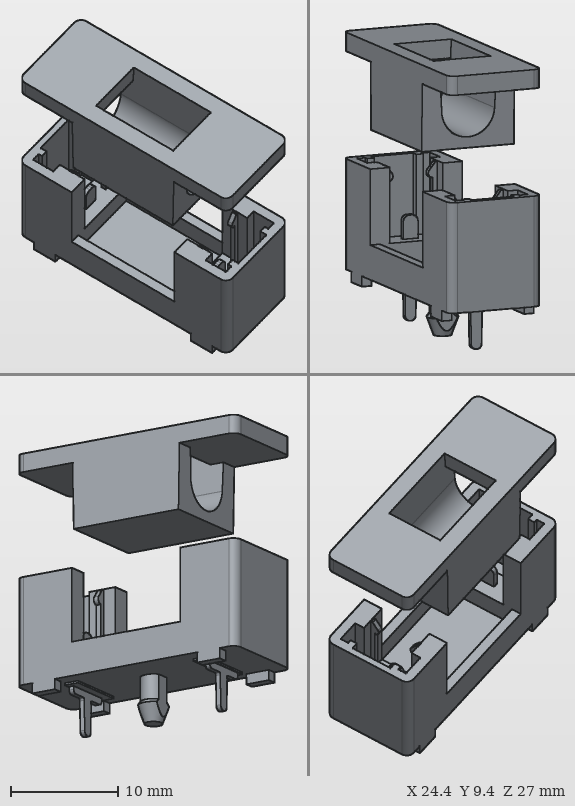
import cadquery as cq
import math


LENGTH = 24.4
WIDTH = 9.4
CORNER_RADIUS = 0.8

HOUSING_HEIGHT = 10.5
NOTCH_HALF_LENGTH = 6.0
SIDE_WALL_HEIGHT = 3.3
TROUGH_FLOOR = 1.2
SIDE_WALL = 1.0
CAVITY_HALF_WIDTH = WIDTH / 2 - SIDE_WALL

THROAT_FLOOR = SIDE_WALL_HEIGHT
CHAMBER_FLOOR = TROUGH_FLOOR
THROAT_HALF_WIDTH = 2.7
THROAT_END = 8.9
CAVITY_END = 11.25
RELIEF_END = 11.55
RIB_TIP = 10.85
RIB_INNER = 2.15
RIB_OUTER = 2.85

FOOT_LENGTH = 2.5
FOOT_WIDTH = 1.0
FOOT_HEIGHT = 1.0
FOOT_OUTER_END = 10.4

PAD_START = 6.4
PAD_END = 7.9
PAD_WIDTH = 6.1
PAD_THICKNESS = 0.2

TIP_DEPTH = 4.5
PEG_RADIUS = 1.25
PEG_FLAT_WIDTH = 2.1
BARB_RADIUS = 1.5
BARB_START_DEPTH = 2.4
BARB_DEPTH = 2.75
PEG_TIP_RADIUS = 0.85

CONTACT_START = 7.3
CONTACT_THICKNESS = 0.5
SHOULDER_WIDTH = 4.8
SHOULDER_DEPTH = 0.9
SHOULDER_RADIUS = 0.4
LEG_ROOT_WIDTH = 1.2
LEG_TIP_WIDTH = 1.05
LEG_TIP_RADIUS = 0.5
LEG_ROOT_RADIUS = 0.2
TAB_WIDTH = 1.5
TAB_HEIGHT = 2.25
TAB_RADIUS = 0.6
ARM_INNER = 2.25
ARM_BEND_Z = 8.9
NOSE_Y = 1.8
NOSE_Z = 9.4
NOSE_END_Y = 1.9
NOSE_END_Z = 9.65
ARM_TIP_Y = 2.5
ARM_TIP_Z = 10.4

CAP_BOTTOM = 14.25
FLANGE_BOTTOM = 20.7
FLANGE_THICKNESS = 1.8
CAP_TOP = FLANGE_BOTTOM + FLANGE_THICKNESS
INSERT_DRAFT = math.radians(1)
CHANNEL_DRAFT = math.radians(2.5)
INSERT_HALF_LENGTH = 5.93
CHANNEL_RADIUS = 2.7
CHANNEL_FLOOR = 1.05
CHANNEL_AXIS_Z = CAP_BOTTOM + CHANNEL_FLOOR + CHANNEL_RADIUS
WINDOW_LENGTH = 9.0


def block(x0, x1, y0, y1, z0, z1):
    """Box between two opposite corners."""
    return cq.Workplane("XY").box(x1 - x0, y1 - y0, z1 - z0, centered=False).translate((x0, y0, z0))


def rounded_plate(bottom, height):
    """Full-size plate with rounded vertical corners."""
    plate = cq.Workplane("XY").workplane(offset=bottom).rect(LENGTH, WIDTH).extrude(height)
    return plate.edges("|Z").fillet(CORNER_RADIUS)


def both_ends(shape):
    """Shape at the +X end joined with its mirror image at the -X end."""
    return shape.union(shape.mirror("YZ"))


def tower_cavity():
    """Space inside the +X tower, open at the top and towards the notch."""
    top = HOUSING_HEIGHT
    throat = block(NOTCH_HALF_LENGTH, THROAT_END, -THROAT_HALF_WIDTH, THROAT_HALF_WIDTH, THROAT_FLOOR, top)
    chamber = block(THROAT_END, CAVITY_END, -CAVITY_HALF_WIDTH, CAVITY_HALF_WIDTH, CHAMBER_FLOOR, top)
    relief = block(CAVITY_END, RELIEF_END, -RIB_INNER, RIB_INNER, CHAMBER_FLOOR, top)
    cavity = throat.union(chamber).union(relief)
    for y0, y1 in ((RIB_INNER, RIB_OUTER), (-RIB_OUTER, -RIB_INNER)):
        cavity = cavity.cut(block(RIB_TIP, CAVITY_END, y0, y1, CHAMBER_FLOOR, top))
    return cavity


def underside_supports():
    """Two corner feet and the contact pad under the +X end."""
    supports = block(PAD_START, PAD_END, -PAD_WIDTH / 2, PAD_WIDTH / 2, -PAD_THICKNESS, 0)
    for y0 in (-WIDTH / 2, WIDTH / 2 - FOOT_WIDTH):
        foot = block(FOOT_OUTER_END - FOOT_LENGTH, FOOT_OUTER_END, y0, y0 + FOOT_WIDTH, -FOOT_HEIGHT, 0)
        supports = supports.union(foot)
    return supports


def snap_peg():
    """Barbed round peg with a flat on each X side."""
    profile = [
        (0, 0),
        (PEG_RADIUS, 0),
        (PEG_RADIUS, -BARB_START_DEPTH),
        (BARB_RADIUS, -BARB_DEPTH),
        (PEG_TIP_RADIUS, -TIP_DEPTH),
        (0, -TIP_DEPTH),
    ]
    peg = cq.Workplane("XZ").polyline(profile).close().revolve(360, (0, 0), (0, 1))
    flats = block(-PEG_FLAT_WIDTH / 2, PEG_FLAT_WIDTH / 2, -BARB_RADIUS, BARB_RADIUS, -TIP_DEPTH, 0)
    return peg.intersect(flats)


def contact_plate(width, bottom, top):
    """Rectangular part of the +X contact, centred in Y."""
    end = CONTACT_START + CONTACT_THICKNESS
    return block(CONTACT_START, end, -width / 2, width / 2, bottom, top)


def contact_arm():
    """Spring arm on the +Y side of the +X contact, bent inwards near its tip."""
    return (
        cq.Workplane("YZ", origin=(CONTACT_START, 0, 0))
        .moveTo(THROAT_HALF_WIDTH, THROAT_FLOOR)
        .lineTo(ARM_INNER, THROAT_FLOOR)
        .lineTo(ARM_INNER, ARM_BEND_Z)
        .threePointArc((NOSE_Y, NOSE_Z), (NOSE_END_Y, NOSE_END_Z))
        .lineTo(ARM_TIP_Y, ARM_TIP_Z)
        .lineTo(THROAT_HALF_WIDTH, ARM_TIP_Z)
        .close()
        .extrude(CONTACT_THICKNESS)
    )


def contact_leg():
    """Slightly tapered solder leg with a rounded tip."""
    outline = [
        (-LEG_ROOT_WIDTH / 2, 0),
        (-LEG_TIP_WIDTH / 2, -TIP_DEPTH),
        (LEG_TIP_WIDTH / 2, -TIP_DEPTH),
        (LEG_ROOT_WIDTH / 2, 0),
    ]
    leg = cq.Workplane("YZ", origin=(CONTACT_START, 0, 0)).polyline(outline).close()
    leg = leg.extrude(CONTACT_THICKNESS)
    return leg.edges("|X and <Z").fillet(LEG_TIP_RADIUS)


def contact():
    """Pieces of the +X contact: solder terminal, centre tab and two arms."""
    shoulder = contact_plate(SHOULDER_WIDTH, -SHOULDER_DEPTH, 0)
    shoulder = shoulder.edges("|X and <Z").fillet(SHOULDER_RADIUS)
    leg = contact_leg()
    root_size = LEG_ROOT_WIDTH / 2 + LEG_ROOT_RADIUS
    root_corners = cq.selectors.BoxSelector(
        (CONTACT_START - 1, -root_size, -SHOULDER_DEPTH - LEG_ROOT_RADIUS),
        (CONTACT_START + 1, root_size, -SHOULDER_DEPTH + LEG_ROOT_RADIUS),
    )
    terminal = shoulder.union(leg).edges("|X").edges(root_corners).fillet(LEG_ROOT_RADIUS)
    tab = contact_plate(TAB_WIDTH, THROAT_FLOOR, THROAT_FLOOR + TAB_HEIGHT)
    tab = tab.edges("|X and >Z").fillet(TAB_RADIUS)
    arm = contact_arm()
    return [terminal, tab, arm, arm.mirror("XZ")]


def make_housing():
    body = rounded_plate(0, HOUSING_HEIGHT)
    notch_ends = (-NOTCH_HALF_LENGTH, NOTCH_HALF_LENGTH)
    body = body.cut(block(*notch_ends, -WIDTH / 2, WIDTH / 2, SIDE_WALL_HEIGHT, HOUSING_HEIGHT))
    body = body.cut(block(*notch_ends, -CAVITY_HALF_WIDTH, CAVITY_HALF_WIDTH, TROUGH_FLOOR, SIDE_WALL_HEIGHT))
    body = body.cut(both_ends(tower_cavity()))
    body = body.union(both_ends(underside_supports()))
    for piece in contact():
        body = body.union(both_ends(piece))
    return body.union(snap_peg())


def fuse_channel(half_length, top):
    """Round-bottomed channel along X with drafted sides tangent to the bottom."""
    tangent_y = CHANNEL_RADIUS * math.cos(CHANNEL_DRAFT)
    tangent_z = CHANNEL_AXIS_Z - CHANNEL_RADIUS * math.sin(CHANNEL_DRAFT)
    top_y = tangent_y + (top - tangent_z) * math.tan(CHANNEL_DRAFT)
    return (
        cq.Workplane("YZ")
        .moveTo(-top_y, top)
        .lineTo(-tangent_y, tangent_z)
        .threePointArc((0, CHANNEL_AXIS_Z - CHANNEL_RADIUS), (tangent_y, tangent_z))
        .lineTo(top_y, top)
        .close()
        .extrude(half_length, both=True)
    )


def make_cap():
    flange = rounded_plate(FLANGE_BOTTOM, FLANGE_THICKNESS)
    bottom_half_length = INSERT_HALF_LENGTH - (FLANGE_BOTTOM - CAP_BOTTOM) * math.tan(INSERT_DRAFT)
    insert_outline = [
        (-INSERT_HALF_LENGTH, FLANGE_BOTTOM),
        (-bottom_half_length, CAP_BOTTOM),
        (bottom_half_length, CAP_BOTTOM),
        (INSERT_HALF_LENGTH, FLANGE_BOTTOM),
    ]
    insert = cq.Workplane("XZ").polyline(insert_outline).close().extrude(WIDTH / 2, both=True)
    cap = flange.union(insert)
    cap = cap.cut(fuse_channel(INSERT_HALF_LENGTH, FLANGE_BOTTOM))
    return cap.cut(fuse_channel(WINDOW_LENGTH / 2, CAP_TOP))


housing = make_housing()
cap = make_cap()

result = cq.Compound.makeCompound([housing.val(), cap.val()])